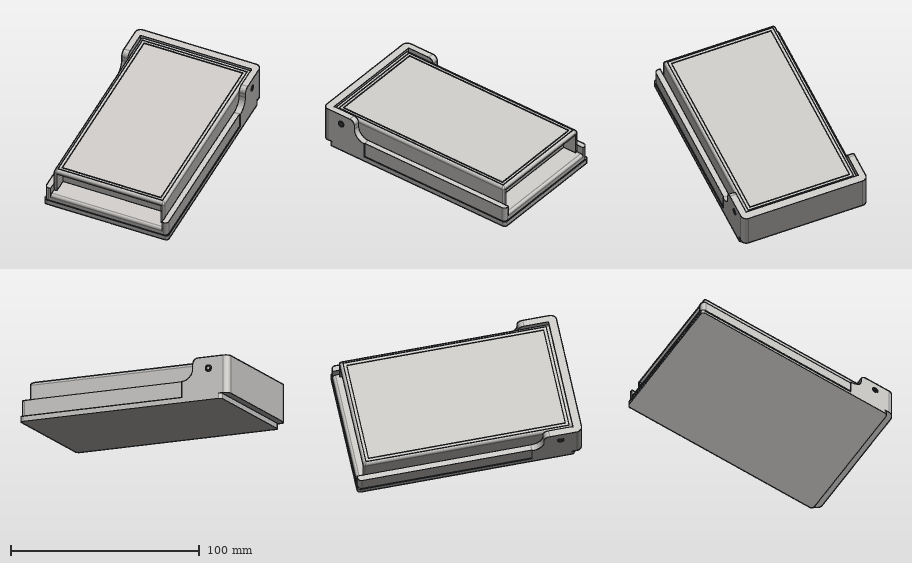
import cadquery as cq

WIDTH = 71.9
LENGTH = 121.8
HEIGHT = 23.5

BASE_LENGTH = 117.7
BASE_THICKNESS = 2.9
BASE_CORNER_RADIUS = 1.7

RAIL_INSET = 0.5
RAIL_TOP = 11.6
RAIL_CORNER_RADIUS = 2.1
CHEEK_FRONT = 101.0
CHEEK_TOP_RADIUS = 3.0
CHEEK_FOOT_RADIUS = 6.6
BACK_CORNER_RADIUS = 3.2
BACK_WALL = 4.5
SIDE_WALL = 3.7
FLOOR_TOP = 7.0
FLOOR_FRONT_RADIUS = 1.6

LID_SIDE_GAP = 0.2
LID_FRONT = 4.0
LID_BOTTOM = 7.8
LID_TOP = 22.0
LID_TOP_RADIUS = 1.7
LID_CORNER_RADIUS = 0.9
LID_WALL = 1.8
LID_ROOF = 2.3
LID_POCKET_DEPTH = 7.9

BEZEL_HEIGHT = 0.2
BEZEL_FRAME = 1.7
SCREEN_RECESS = 0.4

PIN_Y = 110.0
PIN_Z = 17.3
PIN_DIAMETER = 3.2
PIN_HOLE_DIAMETER = 3.4
PIN_CHAMFER = 0.6
PIN_GROOVE_DEPTH = 0.7

half_width = WIDTH / 2
rail_back = CHEEK_FRONT - CHEEK_FOOT_RADIUS
inner_width = WIDTH - 2 * SIDE_WALL
inner_back = LENGTH - BACK_WALL
lid_width = inner_width - 2 * LID_SIDE_GAP
lid_back = inner_back
bezel_top = LID_TOP + BEZEL_HEIGHT


def block(width, y_front, y_back, z_bottom, z_top):
    """Box centred on X between the given Y and Z limits."""
    return cq.Workplane("XY").box(
        width, y_back - y_front, z_top - z_bottom, centered=(True, False, False)
    ).translate((0, y_front, z_bottom))


def make_base():
    return block(WIDTH, 0, BASE_LENGTH, 0, BASE_THICKNESS).edges("|Z").fillet(BASE_CORNER_RADIUS)


def make_cheeks():
    """Full-width rear block whose front profile rounds over and sweeps down to the rails."""
    profile = (
        cq.Workplane("YZ", origin=(-half_width, 0, 0))
        .moveTo(rail_back, BASE_THICKNESS)
        .lineTo(rail_back, RAIL_TOP)
        .radiusArc((CHEEK_FRONT, RAIL_TOP + CHEEK_FOOT_RADIUS), -CHEEK_FOOT_RADIUS)
        .lineTo(CHEEK_FRONT, HEIGHT - CHEEK_TOP_RADIUS)
        .radiusArc((CHEEK_FRONT + CHEEK_TOP_RADIUS, HEIGHT), CHEEK_TOP_RADIUS)
        .lineTo(LENGTH, HEIGHT)
        .lineTo(LENGTH, BASE_THICKNESS)
        .close()
    )
    return profile.extrude(WIDTH).edges("|Z and >Y").fillet(BACK_CORNER_RADIUS)


def make_rails():
    """Slightly inset front part of the tray, rounded at its two front corners."""
    rails = block(WIDTH - 2 * RAIL_INSET, RAIL_INSET, rail_back, BASE_THICKNESS, RAIL_TOP)
    return rails.edges("|Z and <Y").fillet(RAIL_CORNER_RADIUS)


def make_tray():
    """Base, rails and cheeks, hollowed above a floor with a rounded front edge."""
    shell = make_base().union(make_rails()).union(make_cheeks())
    shell = shell.cut(block(inner_width, 0, inner_back, BASE_THICKNESS, HEIGHT))
    floor = block(inner_width, RAIL_INSET, inner_back, BASE_THICKNESS, FLOOR_TOP)
    return shell.union(floor.edges("|X and >Z and <Y").fillet(FLOOR_FRONT_RADIUS))


def top_panel(margin, z_bottom, z_top):
    """Rectangular slab that keeps the given margin from the front, back and sides of the lid."""
    return block(lid_width - 2 * margin, LID_FRONT + margin, lid_back - margin, z_bottom, z_top)


def make_lid():
    """Block with rounded front and side edges, a front pocket open below and a framed screen."""
    lid = block(lid_width, LID_FRONT, lid_back, LID_BOTTOM, LID_TOP)
    lid = lid.edges("|Z and <Y").fillet(LID_CORNER_RADIUS)
    lid = lid.faces(">Z").edges("not >Y").fillet(LID_TOP_RADIUS)
    pocket_width = lid_width - 2 * LID_WALL
    pocket_back = LID_FRONT + LID_POCKET_DEPTH
    pocket = block(pocket_width, LID_FRONT, pocket_back, LID_BOTTOM, LID_TOP - LID_ROOF)
    bezel = top_panel(LID_TOP_RADIUS, LID_TOP, bezel_top)
    screen_space = top_panel(LID_TOP_RADIUS + BEZEL_FRAME, bezel_top - SCREEN_RECESS, bezel_top)
    return lid.union(bezel).cut(pocket).cut(screen_space)


def rod(diameter, length):
    """Cylinder centred on the hinge axis."""
    return (
        cq.Workplane("YZ", origin=(0, PIN_Y, PIN_Z))
        .circle(diameter / 2)
        .extrude(length / 2, both=True)
    )


def make_pin_grooves():
    """Shallow mouths around the pin ends on both outer sides."""
    mouths = rod(PIN_HOLE_DIAMETER, WIDTH)
    return mouths.cut(rod(PIN_HOLE_DIAMETER, WIDTH - 2 * PIN_GROOVE_DEPTH))


def make_pins():
    """One chamfered rod that carries the lid between the cheeks."""
    return rod(PIN_DIAMETER, WIDTH).faces("<X or >X").chamfer(PIN_CHAMFER)


result = make_tray().union(make_lid()).cut(make_pin_grooves()).union(make_pins())